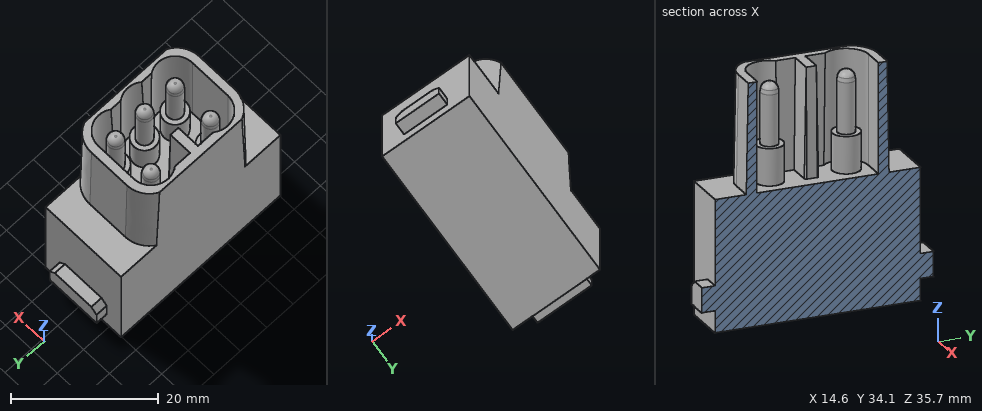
import cadquery as cq
import math

body_width = 14.6
body_length = 30.25
body_height = 19.5
total_height = 35.7
total_length = 34.1

draft = 1.0
shroud_length = 21.05
corner_radius = 4.57
corner_center_x = 3.43
shroud_height = total_height - body_height

contact_x = 3.43
contact_y = 5.65
middle_contact_x = 3.57
contacts = [
    (-contact_x, -contact_y),
    (contact_x, -contact_y),
    (-contact_x, contact_y),
    (contact_x, contact_y),
    (middle_contact_x, 0.0),
]

cavity_radius = 3.25
left_wall_x = -6.0
right_wall_x = 6.15
rail_width = 1.5
rail_tip_x = -2.2

collar_radius = 2.05
collar_top = 24.95
pin_radius = 1.3
pin_tip_z = 34.0
pin_flat_radius = 0.15
dome_radius = 1.18
dome_height = 0.85
neck_height = 0.6

tab_bottom = 3.2
tab_height = 3.7
tab_corner_drop = 1.0
front_tab_corner_run = 1.1
back_tab_corner_run = 1.0
front_tab_width = 7.2
back_tab_width = 9.05
tab_depth = (total_length - body_length) / 2


def make_body():
    return cq.Workplane("XY").box(body_width, body_length, body_height, centered=(True, True, False))


def make_shroud():
    drafted_width = 2 * (corner_center_x + corner_radius)
    outline = cq.Sketch().rect(drafted_width, shroud_length).vertices().fillet(corner_radius)
    block = cq.Workplane("XY", origin=(0, 0, body_height)).placeSketch(outline)
    block = block.extrude(shroud_height, taper=draft)
    trim = cq.Workplane("XY").box(body_width, body_length, total_height, centered=(True, True, False))
    return block.intersect(trim)


def narrowing_down(x_min, x_max, width, angle):
    """Block from the rim down to the cavity floor; a positive angle narrows it towards the floor."""
    block = cq.Workplane("XY", origin=(0, 0, total_height)).center((x_min + x_max) / 2, 0)
    return block.rect(x_max - x_min, width).extrude(-shroud_height, taper=angle)


def make_cavity():
    floor = cq.Workplane("XY", origin=(0, 0, body_height))
    cavity = floor.rect(2 * contact_x, 2 * (contact_y + cavity_radius)).extrude(shroud_height)
    cavity = cavity.union(floor.pushPoints(contacts).circle(cavity_radius).extrude(shroud_height))
    cavity = cavity.union(narrowing_down(left_wall_x, right_wall_x, 2 * contact_y, draft))
    rail = narrowing_down(-body_width / 2, rail_tip_x, rail_width, -draft)
    return cavity.cut(rail)


def make_contact(x, y):
    """Collar, shaft, tapered neck and domed tip, turned about the contact axis."""
    dome_base = pin_tip_z - dome_height
    tip_squares = pin_tip_z ** 2 + pin_flat_radius ** 2
    edge_squares = dome_base ** 2 + dome_radius ** 2
    arc_center_z = (tip_squares - edge_squares) / (2 * dome_height)
    arc_radius = math.hypot(dome_radius, dome_base - arc_center_z)
    edge_angle = math.atan2(dome_base - arc_center_z, dome_radius)
    tip_angle = math.atan2(pin_tip_z - arc_center_z, pin_flat_radius)
    mid_angle = (edge_angle + tip_angle) / 2
    arc_middle = (
        arc_radius * math.cos(mid_angle),
        arc_center_z + arc_radius * math.sin(mid_angle),
    )
    profile = (
        cq.Workplane("XZ")
        .moveTo(0, body_height)
        .lineTo(collar_radius, body_height)
        .lineTo(collar_radius, collar_top)
        .lineTo(pin_radius, collar_top)
        .lineTo(pin_radius, dome_base - neck_height)
        .lineTo(dome_radius, dome_base)
        .threePointArc(arc_middle, (pin_flat_radius, pin_tip_z))
        .lineTo(0, pin_tip_z)
        .close()
    )
    return profile.revolve(360, (0, 0, 0), (0, 1, 0)).translate((x, y, 0))


def make_tab(width, corner_run, y_center):
    """Rectangular tab with its two upper corners cut off."""
    half_width = width / 2
    tab_top = tab_bottom + tab_height
    outline = [
        (-half_width, tab_bottom),
        (half_width, tab_bottom),
        (half_width, tab_top - tab_corner_drop),
        (half_width - corner_run, tab_top),
        (corner_run - half_width, tab_top),
        (-half_width, tab_top - tab_corner_drop),
    ]
    workplane = cq.Workplane("XZ", origin=(0, y_center, 0))
    return workplane.polyline(outline).close().extrude(tab_depth / 2, both=True)


tab_y = (body_length + tab_depth) / 2

result = make_body().union(make_shroud()).cut(make_cavity())
for contact_position in contacts:
    result = result.union(make_contact(*contact_position))
result = result.union(make_tab(front_tab_width, front_tab_corner_run, -tab_y))
result = result.union(make_tab(back_tab_width, back_tab_corner_run, tab_y))